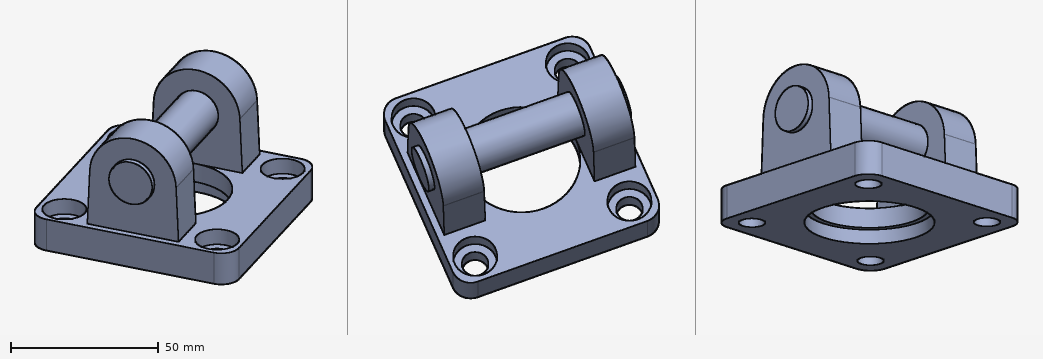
import cadquery as cq
import math

plate_side = 75.0
plate_thickness = 12.0
corner_radius = 6.5
bore_diameter = 40.0
recess_diameter = 44.25
recess_depth = 5.0

hole_spacing = 56.5
hole_diameter = 9.0
counterbore_diameter = 15.0
counterbore_depth = 5.8

total_height = 48.0
pin_diameter = 16.0
pin_length = 74.1
lug_radius = pin_diameter
lug_foot_width = 33.75
lug_thickness = 15.0
lug_gap = 40.0
pin_height = total_height - lug_radius


def make_plate():
    plate = (
        cq.Workplane("XY")
        .rect(plate_side, plate_side)
        .extrude(plate_thickness)
        .edges("|Z")
        .fillet(corner_radius)
    )
    plate = plate.faces(">Z").workplane().hole(bore_diameter)
    plate = plate.cut(cq.Workplane("XY").circle(recess_diameter / 2).extrude(recess_depth))
    return (
        plate.faces(">Z")
        .workplane()
        .rect(hole_spacing, hole_spacing, forConstruction=True)
        .vertices()
        .cboreHole(hole_diameter, counterbore_diameter, counterbore_depth)
    )


def make_lug(outer_y):
    """Tapered lug whose straight flanks run tangent into its round top."""
    foot_x = lug_foot_width / 2
    rise = pin_height - plate_thickness
    foot_distance = math.hypot(foot_x, rise)
    tangent_angle = math.acos(lug_radius / foot_distance) - math.atan2(rise, foot_x)
    tangent_x = lug_radius * math.cos(tangent_angle)
    tangent_z = pin_height + lug_radius * math.sin(tangent_angle)
    return (
        cq.Workplane("XZ", origin=(0, outer_y, 0))
        .moveTo(-foot_x, plate_thickness)
        .lineTo(foot_x, plate_thickness)
        .lineTo(tangent_x, tangent_z)
        .threePointArc((0, total_height), (-tangent_x, tangent_z))
        .close()
        .extrude(lug_thickness)
    )


def make_pin():
    return (
        cq.Workplane("XZ", origin=(0, pin_length / 2, pin_height))
        .circle(pin_diameter / 2)
        .extrude(pin_length)
    )


result = make_plate()
for lug_outer_y in (lug_gap / 2 + lug_thickness, -lug_gap / 2):
    result = result.union(make_lug(lug_outer_y))
result = result.union(make_pin())